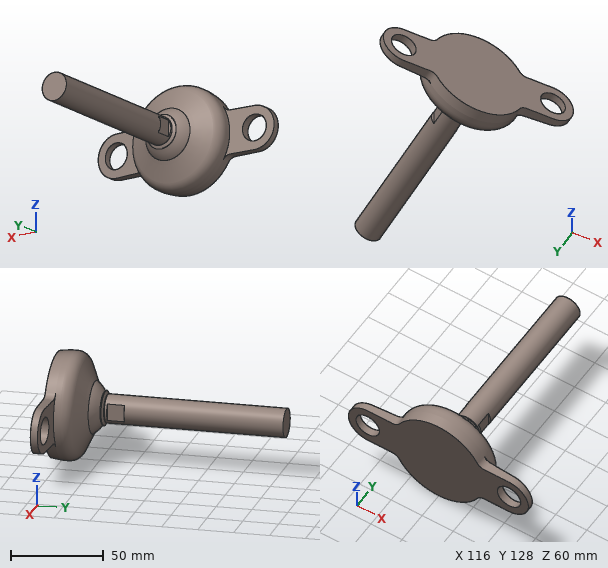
import cadquery as cq
import math


foot_radius = 30.0
skirt_height = 6.0
skirt_taper = 7.0
shoulder_start = 9.25
shoulder_radius = 7.0
slope_angle = 26.0
rim_outer_radius = 17.0

ear_reach = 58.0
ear_width = 25.0
ear_tip_height = 4.0
ear_slope_start = 26.0
ear_blend_radius = 5.0
ear_hole_diameter = 15.0
ear_radius = ear_width / 2
ear_centre = ear_reach - ear_radius

ball_radius = 18.0
ball_centre = 10.7
ball_rim_height = 21.2
total_height = 128.0
rod_radius = 8.0
rod_start = 28.5
rod_end_chamfer = 0.4
collar_radius = 9.7
collar_crest_height = 27.1
collar_foot_height = 26.3
neck_start = 28.0
flats_width = 13.0
flats_start = 29.8
flats_length = 9.6


def ball_profile_radius(height):
    """Radius of the ball's cross-section at a height along Y."""
    return math.sqrt(ball_radius**2 - (height - ball_centre) ** 2)


def make_skirt():
    """Tapered disc at the bottom of the foot."""
    underside_radius = foot_radius - skirt_height * math.tan(math.radians(skirt_taper))
    return (
        cq.Workplane("XY")
        .polyline([(0, 0), (underside_radius, 0), (foot_radius, skirt_height), (0, skirt_height)])
        .close()
        .revolve(360, (0, 0, 0), (0, 1, 0))
    )


def make_foot_base():
    """Skirt with two ears blended into it, the ear tops falling towards the tips."""
    ears = cq.Workplane("XZ").slot2D(2 * ear_reach, ear_width).extrude(-skirt_height)
    base = make_skirt().union(ears)

    corner_x = math.sqrt(foot_radius**2 - ear_radius**2)
    margin = 2.0
    for side_x in (-1, 1):
        for side_z in (-1, 1):
            centre = (side_x * corner_x, skirt_height / 2, side_z * ear_radius)
            low = tuple(c - size for c, size in zip(centre, (margin, skirt_height, margin)))
            high = tuple(c + size for c, size in zip(centre, (margin, skirt_height, margin)))
            corner = cq.selectors.BoxSelector(low, high)
            base = base.edges(corner).edges("not #Y").fillet(ear_blend_radius)

    for side in (-1, 1):
        base = base.cut(make_ear_relief(side))
    return base.union(make_skirt())


def make_ear_relief(side):
    """Wedge above one ear that leaves its top falling towards the tip."""
    fall = (skirt_height - ear_tip_height) / (ear_reach - ear_slope_start)
    end = ear_reach + ear_radius
    end_height = skirt_height - fall * (end - ear_slope_start)
    return (
        cq.Workplane("XY")
        .polyline([
            (side * ear_slope_start, skirt_height),
            (side * end, end_height),
            (side * end, skirt_height),
        ])
        .close()
        .extrude(2 * ear_width, both=True)
    )


def make_foot_top():
    """Turned upper part: straight wall, rounded shoulder, cone and rim bevel."""
    turn = math.radians(90 - slope_angle)
    arc_centre_x = foot_radius - shoulder_radius

    def shoulder_point(angle):
        return (
            arc_centre_x + shoulder_radius * math.cos(angle),
            shoulder_start + shoulder_radius * math.sin(angle),
        )

    arc_end = shoulder_point(turn)
    rim_outer_height = arc_end[1] + (arc_end[0] - rim_outer_radius) * math.tan(math.radians(slope_angle))
    return (
        cq.Workplane("XY")
        .moveTo(0, skirt_height)
        .lineTo(foot_radius, skirt_height)
        .lineTo(foot_radius, shoulder_start)
        .threePointArc(shoulder_point(turn / 2), arc_end)
        .lineTo(rim_outer_radius, rim_outer_height)
        .lineTo(ball_profile_radius(ball_rim_height), ball_rim_height)
        .lineTo(0, ball_rim_height)
        .close()
        .revolve(360, (0, 0, 0), (0, 1, 0))
    )


def make_half_ball():
    """Upper half of the ball; the same shape is the socket in the foot."""
    middle = ball_radius * math.sqrt(0.5)
    return (
        cq.Workplane("XY")
        .moveTo(0, ball_centre)
        .lineTo(ball_radius, ball_centre)
        .threePointArc((middle, ball_centre + middle), (0, ball_centre + ball_radius))
        .close()
        .revolve(360, (0, 0, 0), (0, 1, 0))
    )


def make_foot():
    foot = make_foot_base().union(make_foot_top())
    holes = (
        cq.Workplane("XZ")
        .pushPoints([(-ear_centre, 0), (ear_centre, 0)])
        .circle(ear_hole_diameter / 2)
        .extrude(-skirt_height)
    )
    return foot.cut(holes).cut(make_half_ball())


def make_stud():
    """Rod with wrench flats, collar and the ball it swivels on."""
    neck_radius = rod_radius - rod_end_chamfer
    ball_neck_radius = ball_profile_radius(collar_foot_height)
    stem = (
        cq.Workplane("XY")
        .moveTo(0, ball_centre)
        .lineTo(neck_radius, ball_centre)
        .lineTo(neck_radius, collar_foot_height)
        .lineTo(ball_neck_radius, collar_foot_height)
        .lineTo(collar_radius, collar_crest_height)
        .lineTo(neck_radius, neck_start)
        .lineTo(rod_radius, rod_start)
        .lineTo(rod_radius, total_height)
        .lineTo(0, total_height)
        .close()
        .revolve(360, (0, 0, 0), (0, 1, 0))
    )
    flat_depth = rod_radius - flats_width / 2
    for side in (-1, 1):
        flat = cq.Workplane("XY").box(flat_depth, flats_length, 2 * rod_radius).translate((
            side * (flats_width + flat_depth) / 2,
            flats_start + flats_length / 2,
            0,
        ))
        stem = stem.cut(flat)
    collar_seat = cq.Workplane("XZ").workplane(offset=-collar_foot_height).circle(ball_radius)
    ball = make_half_ball().cut(collar_seat.extrude(-ball_radius))
    return ball.union(stem)


foot = make_foot()
stud = make_stud()

result = cq.Compound.makeCompound([foot.val(), stud.val()])